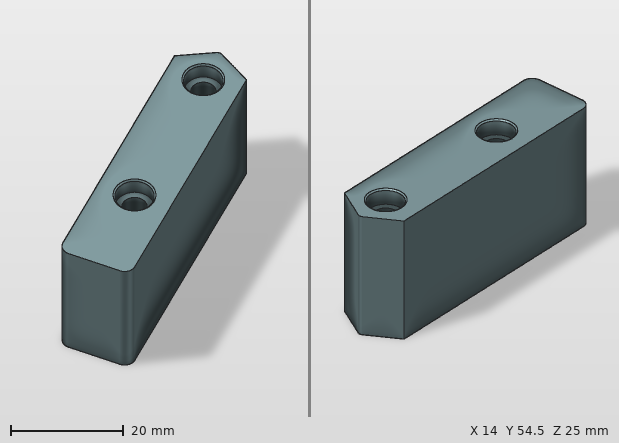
import cadquery as cq
import math

width = 14.0
length = 54.5
height = 25.0
end_corner_radius = 2.0

tip_slope = math.radians(30)
tip_radius = 1.0
tip_rounding_loss = tip_radius * (1 / math.cos(tip_slope) - 1)
sharp_tip_y = length + tip_rounding_loss
shoulder_y = sharp_tip_y - width / 2 * math.tan(tip_slope)

first_hole_y = 17.5
hole_spacing = 30.0
hole_diameter = 4.5
counterbore_diameter = 7.0
counterbore_depth = 3.2
counterbore_chamfer = 0.3


def make_block():
    half_width = width / 2
    outline = [
        (-half_width, 0),
        (half_width, 0),
        (half_width, shoulder_y),
        (0, sharp_tip_y),
        (-half_width, shoulder_y),
    ]
    block = cq.Workplane("XY").polyline(outline).close().extrude(height)
    block = block.faces("<Y").edges("|Z").fillet(end_corner_radius)
    return block.edges("|Z and >Y").fillet(tip_radius)


def make_screw_hole_cutter(hole_y):
    """Solid of revolution matching the empty space of one screw hole."""
    hole_radius = hole_diameter / 2
    bore_radius = counterbore_diameter / 2
    mouth_radius = bore_radius + counterbore_chamfer
    seat_z = height - counterbore_depth
    half_profile = [
        (0, 0),
        (hole_radius, 0),
        (hole_radius, seat_z),
        (bore_radius, seat_z),
        (bore_radius, height - counterbore_chamfer),
        (mouth_radius, height),
        (0, height),
    ]
    cutter = cq.Workplane("XZ").polyline(half_profile).close()
    cutter = cutter.revolve(360, (0, 0), (0, 1))
    return cutter.translate((0, hole_y, 0))


result = make_block()
for hole_y in (first_hole_y, first_hole_y + hole_spacing):
    result = result.cut(make_screw_hole_cutter(hole_y))